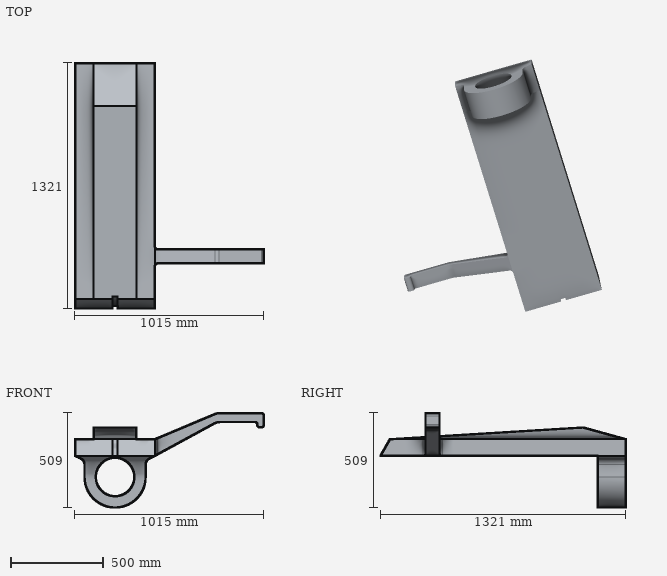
import cadquery as cq
import math

LENGTH = 1321.0
BODY_WIDTH = 429.0
BODY_HEIGHT = 90.0
FRONT_SLOPE_RUN = 52.0

RIDGE_WIDTH = 230.0
RIDGE_HEIGHT = 63.0
RIDGE_PEAK_SETBACK = 230.0

GROOVE_WIDTH = 26.0
GROOVE_DEPTH = 13.0

LUG_RADIUS = 165.0
LUG_THICKNESS = 152.0
BORE_DIAMETER = 206.0
BORE_DROP = 114.0
FLARE_ANGLE = 27.0
FLARE_RADIUS = 33.0

ARM_WIDTH = 77.0
ARM_SETBACK = 243.0
ARM_REACH = 586.0
ARM_TOP = 230.0
ARM_THICKNESS = 49.0
BEND_REACH = 333.0
BEND_RADIUS = 55.0
HOOK_WIDTH = 37.0
HOOK_DROP = 28.0
HOOK_RADIUS = 15.0
INNER_HOOK_RADIUS = 9.0
ROOT_RADIUS = 15.0

half_width = BODY_WIDTH / 2
ridge_peak = BODY_HEIGHT + RIDGE_HEIGHT
front_top_y = -LENGTH + FRONT_SLOPE_RUN


def side_prism(points, width):
    """Extrude a (Y, Z) outline symmetrically about X = 0."""
    return cq.Workplane("YZ").polyline(points).close().extrude(width / 2, both=True)


def make_body():
    outline = [(0, 0), (0, BODY_HEIGHT), (front_top_y, BODY_HEIGHT), (-LENGTH, 0)]
    return side_prism(outline, BODY_WIDTH)


def make_ridge():
    outline = [
        (0, BODY_HEIGHT),
        (-RIDGE_PEAK_SETBACK, ridge_peak),
        (front_top_y, BODY_HEIGHT),
    ]
    return side_prism(outline, RIDGE_WIDTH)


def make_groove():
    """Cutter between the front slope and its parallel copy, continued past the ridge."""
    top_run = FRONT_SLOPE_RUN * ridge_peak / BODY_HEIGHT
    outline = [
        (-LENGTH, 0),
        (-LENGTH + GROOVE_DEPTH, 0),
        (-LENGTH + GROOVE_DEPTH + top_run, ridge_peak),
        (-LENGTH, ridge_peak),
    ]
    return side_prism(outline, GROOVE_WIDTH)


def make_lug():
    flare_drop = (half_width - LUG_RADIUS) * math.tan(math.radians(FLARE_ANGLE))
    lug = (
        cq.Workplane("XZ")
        .moveTo(-half_width, 0)
        .lineTo(-LUG_RADIUS, -flare_drop)
        .lineTo(-LUG_RADIUS, -BORE_DROP)
        .threePointArc((0, -BORE_DROP - LUG_RADIUS), (LUG_RADIUS, -BORE_DROP))
        .lineTo(LUG_RADIUS, -flare_drop)
        .lineTo(half_width, 0)
        .close()
        .extrude(LUG_THICKNESS)
    )
    margin = 1.0
    corners = cq.selectors.BoxSelector(
        (-LUG_RADIUS - margin, -LENGTH, -flare_drop - margin),
        (LUG_RADIUS + margin, LENGTH, -flare_drop + margin),
    )
    lug = lug.edges("|Y").edges(corners).fillet(FLARE_RADIUS)
    bore = (
        cq.Workplane("XZ")
        .center(0, -BORE_DROP)
        .circle(BORE_DIAMETER / 2)
        .extrude(LUG_THICKNESS)
    )
    return lug.cut(bore)


def make_arm():
    bend_x = half_width + BEND_REACH
    tip_x = half_width + ARM_REACH
    hook_x = tip_x - HOOK_WIDTH
    arm_bottom = ARM_TOP - ARM_THICKNESS
    near_y = -LENGTH + ARM_SETBACK
    far_y = near_y + ARM_WIDTH
    hook_bottom = arm_bottom - HOOK_DROP

    def round_edge(solid, x, z, radius):
        nearest = cq.selectors.NearestToPointSelector((x, near_y + ARM_WIDTH / 2, z))
        return solid.edges("|Y").edges(nearest).fillet(radius)

    outline = [
        (half_width, 0),
        (half_width, BODY_HEIGHT),
        (bend_x, ARM_TOP),
        (tip_x, ARM_TOP),
        (tip_x, hook_bottom),
        (hook_x, hook_bottom),
        (hook_x, arm_bottom),
        (bend_x, arm_bottom),
    ]
    arm = cq.Workplane("XZ", origin=(0, far_y, 0)).polyline(outline).close().extrude(ARM_WIDTH)
    for z in (ARM_TOP, arm_bottom):
        arm = round_edge(arm, bend_x, z, BEND_RADIUS)
    for x, z in ((tip_x, ARM_TOP), (tip_x, hook_bottom), (hook_x, hook_bottom)):
        arm = round_edge(arm, x, z, HOOK_RADIUS)
    arm = round_edge(arm, hook_x, arm_bottom, INNER_HOOK_RADIUS)

    top_rise = (ARM_TOP - BODY_HEIGHT) / BEND_REACH * ROOT_RADIUS
    bottom_rise = arm_bottom / BEND_REACH * ROOT_RADIUS
    root_x = half_width + ROOT_RADIUS
    root = (
        cq.Workplane("XZ", origin=(0, far_y + ROOT_RADIUS, 0))
        .moveTo(half_width, 0)
        .lineTo(half_width, BODY_HEIGHT)
        .lineTo(root_x, BODY_HEIGHT + top_rise)
        .lineTo(root_x, bottom_rise)
        .close()
        .extrude(ARM_WIDTH + 2 * ROOT_RADIUS)
    )
    for y in (near_y - ROOT_RADIUS, far_y + ROOT_RADIUS):
        scoop = cq.Workplane("XY").center(root_x, y).circle(ROOT_RADIUS).extrude(ARM_TOP)
        root = root.cut(scoop)
    return arm.union(root)


result = make_body().union(make_ridge()).cut(make_groove()).union(make_lug()).union(make_arm())